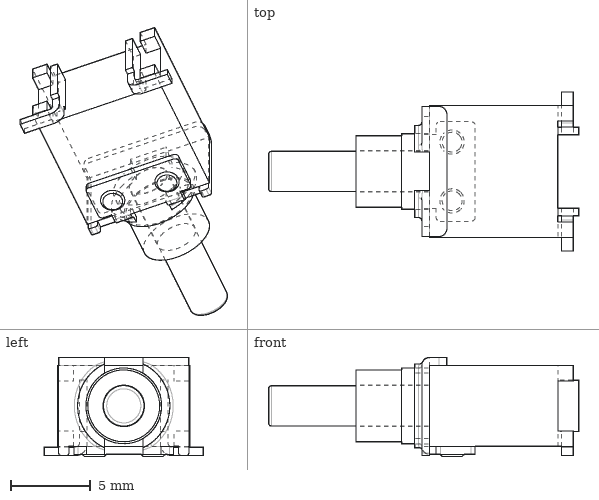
import cadquery as cq


housing_length = 9.0
housing_width = 8.28
housing_height = 5.08
bushing_front = -4.63
bushing_step = -1.76
bushing_nose_diameter = 4.5
bushing_root_diameter = 4.75
bore_diameter = 2.6

recess_front = 8.02
recess_width = 6.3
window_height = 3.12

plunger_front = -10.1
plunger_diameter = 2.54
plunger_tip_radius = 0.2

terminal_rear = 9.35
terminal_thickness = 0.48
terminal_outer_face = 2.78
terminal_blade_height = 3.22
terminal_span = 9.98
foot_front = 8.25
foot_thickness = 0.53
foot_bottom = -3.12
foot_bend_radius = 0.25

sheet = 0.5
bracket_width = 8.15
flange_rear = 1.075
flange_corner_radius = 0.5
leg_inner_face = 3.44
leg_tip_radius = 0.16
notch_width = 2.41
collar_front = -0.94
collar_diameter = 5.78
collar_fillet = 0.21
pick_margin = 0.01

tongue_neck_width = 4.64
tongue_head_front = 0.4
tongue_head_rear = 2.85
tongue_head_width = 6.24
tongue_corner_radius = 0.26
pip_bottom = -3.18
pip_taper = 45
pip_diameter = 1.52
pip_x = 1.4
pip_spacing = 3.68

housing_top = housing_height / 2
housing_bottom = -housing_height / 2
bracket_top = housing_top + sheet
tongue_bottom = housing_bottom - sheet


def box(x_range, y_range, z_range):
    """Box given by its limits along each axis."""
    size = [high - low for low, high in (x_range, y_range, z_range)]
    corner = (x_range[0], y_range[0], z_range[0])
    return cq.Workplane("XY").box(*size, centered=False).translate(corner)


def wide_box(x_range, width, z_range):
    """Box centred on Y = 0."""
    return box(x_range, (-width / 2, width / 2), z_range)


def rod(x_front, x_rear, diameter):
    """Cylinder on the plunger axis."""
    return cq.Workplane("YZ", origin=(x_front, 0, 0)).circle(diameter / 2).extrude(x_rear - x_front)


def make_terminal():
    """Terminal on the +Y side: an upright blade, and a narrower leg bent outwards into a foot."""
    inner_face = terminal_outer_face - terminal_thickness
    blade = box(
        (recess_front, terminal_rear),
        (inner_face, terminal_outer_face),
        (-terminal_blade_height / 2, terminal_blade_height / 2),
    )
    foot_top = foot_bottom + foot_thickness
    outer_bend_radius = foot_bend_radius + terminal_thickness
    leg = (
        cq.Workplane("YZ", origin=(foot_front, 0, 0))
        .moveTo(inner_face, 0)
        .lineTo(inner_face, foot_bottom)
        .lineTo(terminal_span / 2, foot_bottom)
        .lineTo(terminal_span / 2, foot_top)
        .lineTo(terminal_outer_face, foot_top)
        .lineTo(terminal_outer_face, 0)
        .close()
        .extrude(housing_length - foot_front)
    )
    inner_corner = cq.selectors.NearestToPointSelector((foot_front, terminal_outer_face, foot_top))
    outer_corner = cq.selectors.NearestToPointSelector((foot_front, inner_face, foot_bottom))
    leg = leg.edges("|X").edges(inner_corner).fillet(foot_bend_radius)
    leg = leg.edges("|X").edges(outer_corner).fillet(outer_bend_radius)
    return blade.union(leg)


def make_housing():
    """Block with the stepped bushing in front and the two terminals in its rear recess."""
    z_range = (housing_bottom, housing_top)
    recess_range = (recess_front, housing_length)
    window_range = (-window_height / 2, window_height / 2)
    block = wide_box((0, housing_length), housing_width, z_range)
    block = block.cut(wide_box(recess_range, recess_width, z_range))
    block = block.cut(wide_box(recess_range, housing_width, window_range))
    bushing = rod(bushing_front, bushing_step, bushing_nose_diameter)
    bushing = bushing.union(rod(bushing_step, 0, bushing_root_diameter))
    terminal = make_terminal()
    housing = block.union(bushing).cut(rod(bushing_front, 0, bore_diameter))
    return housing.union(terminal).union(terminal.mirror("XZ"))


def make_plunger():
    """Round plunger resting on the bottom of the bushing bore."""
    return rod(plunger_front, 0, plunger_diameter).faces("<X").edges().fillet(plunger_tip_radius)


def make_front_plate():
    """Front plate bent back over the housing top, with a leg at each bottom corner."""
    flange = wide_box((-sheet, flange_rear), bracket_width, (housing_top, bracket_top))
    flange = flange.edges("|Z and >X").fillet(flange_corner_radius)
    plate = wide_box((-sheet, 0), bracket_width, (housing_bottom, bracket_top))
    front = flange.union(plate).edges("|Y and <X and >Z").fillet(sheet)
    for side in (-1, 1):
        limits = sorted((side * leg_inner_face, side * bracket_width / 2))
        leg = box((-sheet, 0), limits, (foot_bottom, housing_bottom))
        front = front.union(leg.edges("|X and <Z").fillet(leg_tip_radius))
    return front


def make_tongue():
    """T-shaped tongue bent back under the housing, with two pips below it."""
    neck = (
        cq.Workplane("XZ")
        .moveTo(0, housing_bottom)
        .lineTo(-sheet, housing_bottom)
        .radiusArc((0, tongue_bottom), -sheet)
        .lineTo(tongue_head_front, tongue_bottom)
        .lineTo(tongue_head_front, housing_bottom)
        .close()
        .extrude(tongue_neck_width / 2, both=True)
    )
    tongue_range = (tongue_bottom, housing_bottom)
    head = wide_box((tongue_head_front, tongue_head_rear), tongue_head_width, tongue_range)
    head = head.edges("|Z").fillet(tongue_corner_radius)
    pips = (
        cq.Workplane("XY", origin=(pip_x, 0, tongue_bottom))
        .pushPoints([(0, -pip_spacing / 2), (0, pip_spacing / 2)])
        .circle(pip_diameter / 2)
        .extrude(pip_bottom - tongue_bottom, taper=pip_taper)
    )
    return neck.union(head).union(pips)


def make_bracket():
    """Sheet bracket with a collar round its bushing hole, and a notch above and below the bushing."""
    sheet_part = make_front_plate().union(make_tongue())
    blank = sheet_part.union(rod(collar_front, 0, collar_diameter))

    reach = collar_diameter / 2 + pick_margin
    root_of_collar = cq.selectors.BoxSelector(
        (-sheet - pick_margin, -reach, -reach),
        (-pick_margin, reach, reach),
        boundingbox=True,
    )
    blank = blank.edges(root_of_collar).edges("not %LINE").fillet(collar_fillet)

    notch = wide_box((collar_front, 0), notch_width, (-bracket_top, bracket_top))
    return blank.cut(notch).cut(rod(collar_front, 0, bushing_root_diameter))


housing = make_housing()
plunger = make_plunger()
bracket = make_bracket()

result = cq.Compound.makeCompound([body.solids().val() for body in (housing, plunger, bracket)])